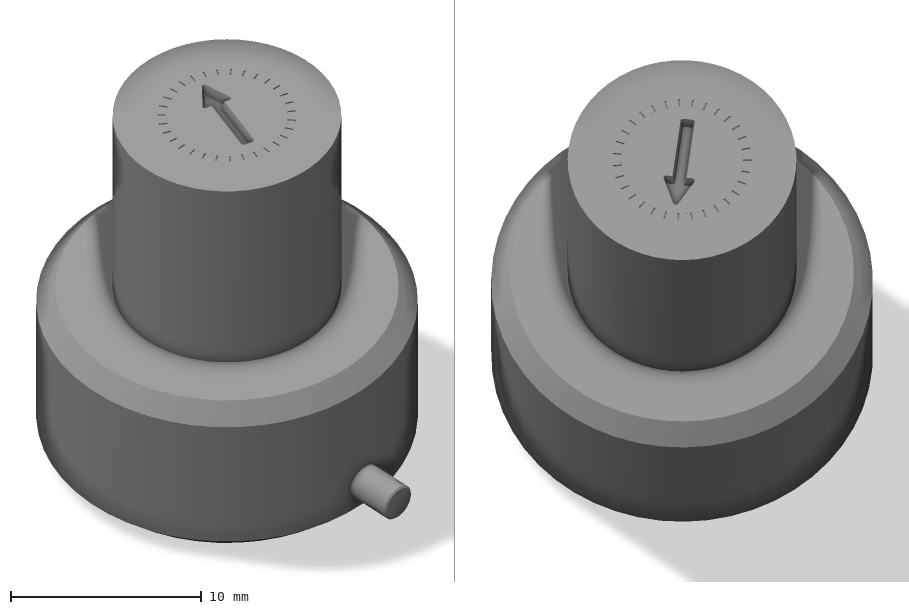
import cadquery as cq

FLANGE_DIAMETER = 20.0
FLANGE_HEIGHT = FLANGE_DIAMETER / 2
FLANGE_CHAMFER = FLANGE_DIAMETER / 20
STEM_DIAMETER = 12.0
STEM_HEIGHT = STEM_DIAMETER
TOP_Z = FLANGE_HEIGHT + STEM_HEIGHT

DIAL_DIAMETER = 6.4
DIAL_DEPTH = 3.0

DAY_COUNT = 31
TICK_LENGTH = 0.45
TICK_WIDTH = 0.1
TICK_DEPTH = 0.1
FIRST_TICK_ANGLE = -90

ARROW_ANGLE = 161.4
ARROW_TIP = 2.59
ARROW_HEAD_BASE = 1.15
ARROW_TAIL = -2.35
ARROW_HEAD_HALF_WIDTH = 0.7
ARROW_SHAFT_HALF_WIDTH = 0.25
ARROW_DEPTH = 0.6
ARROW_WALL_DRAFT = 12

PIN_DIAMETER = 2.0
PIN_CENTRE_Z = FLANGE_HEIGHT / 4
PIN_LENGTH = 4.5
PIN_END_CHAMFER = 0.1
OVERALL_LENGTH = 22.5
PIN_OUTER_X = OVERALL_LENGTH - FLANGE_DIAMETER / 2


def cylinder_down(diameter, top_z, height):
    """Cylinder on the Z axis, reaching down from top_z."""
    return cq.Workplane("XY").workplane(offset=top_z).circle(diameter / 2).extrude(-height)


def dial_cylinder():
    """Round shape shared by the dial and the recess that holds it."""
    return cylinder_down(DIAL_DIAMETER, TOP_Z, DIAL_DEPTH)


def pin_cylinder():
    """Plain pin shape, reaching inwards from its outer end."""
    return (
        cq.Workplane("YZ", origin=(PIN_OUTER_X, 0, PIN_CENTRE_Z))
        .circle(PIN_DIAMETER / 2)
        .extrude(-PIN_LENGTH)
    )


def make_pin():
    return pin_cylinder().faces(">X").chamfer(PIN_END_CHAMFER)


def make_arrow_pocket():
    """Arrow-shaped cutter that widens from its sharp-cornered floor to rounded corners at the top."""
    outline = [
        (ARROW_TIP, 0),
        (ARROW_HEAD_BASE, ARROW_HEAD_HALF_WIDTH),
        (ARROW_HEAD_BASE, ARROW_SHAFT_HALF_WIDTH),
        (ARROW_TAIL, ARROW_SHAFT_HALF_WIDTH),
        (ARROW_TAIL, -ARROW_SHAFT_HALF_WIDTH),
        (ARROW_HEAD_BASE, -ARROW_SHAFT_HALF_WIDTH),
        (ARROW_HEAD_BASE, -ARROW_HEAD_HALF_WIDTH),
    ]
    return (
        cq.Workplane("XY")
        .workplane(offset=TOP_Z - ARROW_DEPTH)
        .polyline(outline)
        .close()
        .extrude(ARROW_DEPTH, taper=-ARROW_WALL_DRAFT)
        .rotate((0, 0, 0), (0, 0, 1), ARROW_ANGLE)
    )


def make_dial():
    return dial_cylinder().cut(make_arrow_pocket())


def make_tick_grooves():
    """Radial grooves, one per day, running outwards from the dial's recess."""
    inner_radius = DIAL_DIAMETER / 2
    cutter_length = 2 * TICK_LENGTH
    grooves = []
    for day in range(DAY_COUNT):
        groove = (
            cq.Workplane("XY")
            .box(cutter_length, TICK_WIDTH, TICK_DEPTH, centered=(True, True, False))
            .translate((inner_radius, 0, TOP_Z - TICK_DEPTH))
            .rotate((0, 0, 0), (0, 0, 1), FIRST_TICK_ANGLE + day * 360 / DAY_COUNT)
        )
        grooves.append(groove.val())
    return cq.Compound.makeCompound(grooves)


def make_housing():
    flange = cylinder_down(FLANGE_DIAMETER, FLANGE_HEIGHT, FLANGE_HEIGHT).edges().chamfer(FLANGE_CHAMFER)
    return (
        flange.union(cylinder_down(STEM_DIAMETER, TOP_Z, STEM_HEIGHT))
        .cut(dial_cylinder())
        .cut(cq.Workplane(make_tick_grooves()))
        .cut(pin_cylinder())
    )


housing = make_housing()
dial = make_dial()
pin = make_pin()

result = cq.Compound.makeCompound([housing.val(), dial.val(), pin.val()])